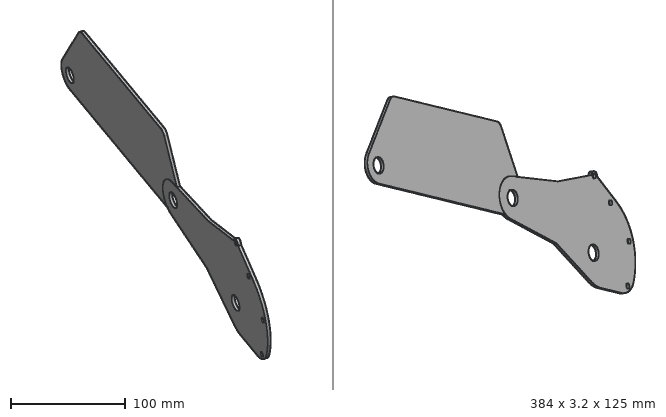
import cadquery as cq
import math

THICKNESS = 3.2
PIVOT_DIAMETER = 14.5
PIVOT_SPACING = 192.0

PLATE_END_RADIUS = 16.0
PLATE_TOP = 64.5
PLATE_SIDE_ANGLE = 60.0
PLATE_CORNER_RADIUS = 7.5

BOSS_RADIUS = 19.2
HUB_X = PIVOT_SPACING + 116.0
HUB_Z = -31.0
SECTOR_RADIUS = 60.0
SECTOR_START_ANGLE = 56.0
ARM_BOTTOM = -60.5
UPPER_BEND = (257.2, 24.5)
LOWER_BEND = (254.0, -30.7)
HEEL_X = 311.0
HEEL_RADIUS = 27.0
TOE_RADIUS = 17.3

SMALL_HOLE_DIAMETER = 4.5
HOLE_CIRCLE_RADIUS = 53.7
FIRST_HOLE_ANGLE = -24.3
HOLE_ANGLE_STEP = 43.8
HOLE_COUNT = 3
EAR_CENTER = (HUB_X + 0.8, 37.2)
EAR_RADIUS = 4.2
EAR_LEFT_ANGLE = 180.0
EAR_RIGHT_ANGLE = 0.0


def polar(center, radius, angle):
    """Point at an angle in degrees on a circle."""
    turn = math.radians(angle)
    return center[0] + radius * math.cos(turn), center[1] + radius * math.sin(turn)


def tangent_point(center, radius, outside, side):
    """Point where a line from an outside point touches a circle; side is +1 or -1."""
    dx = outside[0] - center[0]
    dz = outside[1] - center[1]
    offset = math.acos(radius / math.hypot(dx, dz))
    return polar(center, radius, math.degrees(math.atan2(dz, dx) + side * offset))


def extrude_sheet(sketch):
    """Give a closed XZ outline the sheet thickness, from Y = 0 towards +Y."""
    return sketch.extrude(-THICKNESS)


def cut_holes(body, centers, diameter):
    holes = cq.Workplane("XZ").pushPoints(centers).circle(diameter / 2)
    return body.cut(extrude_sheet(holes))


pivot = (PIVOT_SPACING, 0)
hub = (HUB_X, HUB_Z)


def make_arm():
    boss_top = tangent_point(pivot, BOSS_RADIUS, UPPER_BEND, 1)
    boss_bottom = tangent_point(pivot, BOSS_RADIUS, LOWER_BEND, -1)
    ear_left = polar(EAR_CENTER, EAR_RADIUS, EAR_LEFT_ANGLE)
    sector_start = polar(hub, SECTOR_RADIUS, SECTOR_START_ANGLE)
    ear_right = polar(EAR_CENTER, EAR_RADIUS, EAR_RIGHT_ANGLE)
    ear_top = (EAR_CENTER[0], EAR_CENTER[1] + EAR_RADIUS)
    sector_end_angle = math.degrees(math.asin((ARM_BOTTOM - HUB_Z) / SECTOR_RADIUS))
    sector_end = polar(hub, SECTOR_RADIUS, sector_end_angle)

    outline = (
        cq.Workplane("XZ")
        .moveTo(*boss_top)
        .lineTo(*UPPER_BEND)
        .lineTo(*ear_left)
        .threePointArc(ear_top, ear_right)
        .lineTo(*sector_start)
        .threePointArc(polar(hub, SECTOR_RADIUS, 0), sector_end)
        .lineTo(HEEL_X, ARM_BOTTOM)
        .lineTo(*LOWER_BEND)
        .lineTo(*boss_bottom)
        .threePointArc((PIVOT_SPACING - BOSS_RADIUS, 0), boss_top)
        .close()
    )
    body = extrude_sheet(outline)
    for corner, radius in (((HEEL_X, ARM_BOTTOM), HEEL_RADIUS), (sector_end, TOE_RADIUS)):
        edge = cq.selectors.NearestToPointSelector((corner[0], THICKNESS / 2, corner[1]))
        body = body.edges("|Y").edges(edge).fillet(radius)

    small_holes = [EAR_CENTER]
    for index in range(HOLE_COUNT):
        angle = FIRST_HOLE_ANGLE + index * HOLE_ANGLE_STEP
        small_holes.append(polar(hub, HOLE_CIRCLE_RADIUS, angle))
    body = cut_holes(body, small_holes, SMALL_HOLE_DIAMETER)
    return cut_holes(body, [pivot, hub], PIVOT_DIAMETER)


def make_plate(arm):
    """Trapezoid with rounded ends, notched to receive the arm's boss."""
    side_normal = 180 - (90 - PLATE_SIDE_ANGLE)
    side_start = polar((0, 0), PLATE_END_RADIUS, side_normal)
    side_run = (PLATE_TOP - side_start[1]) / math.tan(math.radians(PLATE_SIDE_ANGLE))
    top_left_x = side_start[0] + side_run
    end_middle_angle = (side_normal + 270) / 2
    end_middle = polar((0, 0), PLATE_END_RADIUS, end_middle_angle)

    outline = (
        cq.Workplane("XZ")
        .moveTo(0, -PLATE_END_RADIUS)
        .threePointArc(end_middle, side_start)
        .lineTo(top_left_x, PLATE_TOP)
        .lineTo(PIVOT_SPACING - top_left_x, PLATE_TOP)
        .lineTo(PIVOT_SPACING - side_start[0], side_start[1])
        .threePointArc((PIVOT_SPACING - end_middle[0], end_middle[1]), (PIVOT_SPACING, -PLATE_END_RADIUS))
        .close()
    )
    body = extrude_sheet(outline)
    top_corners = body.faces(">Z").edges("|Y")
    body = top_corners.fillet(PLATE_CORNER_RADIUS)
    body = cut_holes(body, [(0, 0), pivot], PIVOT_DIAMETER)
    return body.cut(arm)


arm = make_arm()
plate = make_plate(arm)
result = cq.Compound.makeCompound([plate.val(), arm.val()])